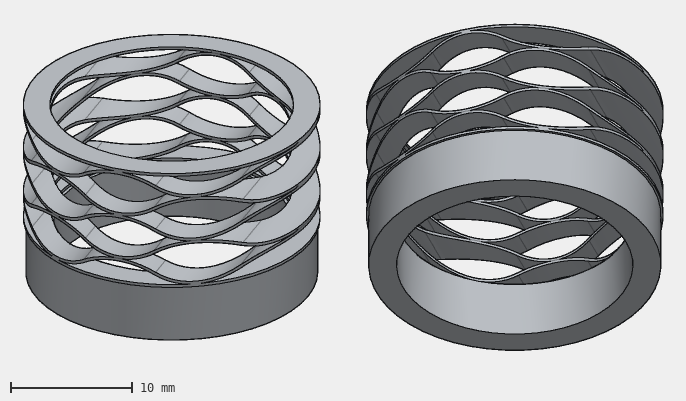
import cadquery as cq
import math

total_height = 15.59
spring_outer_diameter = 24.38
spring_inner_diameter = 20.0

sleeve_outer_diameter = 24.0
sleeve_inner_diameter = 19.4
sleeve_height = 5.0

strip_thickness = 0.26
wave_layers = 5
half_wave_length = 6.17
contact_overlap = 0.03

spring_bottom = sleeve_height
waves_bottom = spring_bottom + strip_thickness
waves_top = total_height - strip_thickness
layer_pitch = (waves_top - waves_bottom) / wave_layers

wave_rise = layer_pitch + contact_overlap - strip_thickness
quarter_run = half_wave_length / 2
quarter_rise = wave_rise / 2
bend_radius = (quarter_run**2 + quarter_rise**2) / (2 * quarter_rise)
bend_angle = math.asin(quarter_run / bend_radius)
half_waves_per_side = 2


def ring(outer_diameter, inner_diameter, bottom, height):
    """A flat-ended tube about the Z axis."""
    return (
        cq.Workplane("XY", origin=(0, 0, bottom))
        .circle(outer_diameter / 2)
        .circle(inner_diameter / 2)
        .extrude(height)
    )


def bend(index, mid_height, crest_at_axis):
    """One arched piece of strip: a crest or a trough, centred `index` half waves from the axis."""
    is_crest = (index % 2 == 0) == crest_at_axis
    side = 1 if is_crest else -1
    center_x = index * half_wave_length
    center_z = mid_height + side * (quarter_rise - bend_radius)

    def point(radius, angle):
        return (center_x + radius * math.sin(angle), center_z + side * radius * math.cos(angle))

    outer = bend_radius + strip_thickness / 2
    inner = bend_radius - strip_thickness / 2
    return (
        cq.Workplane("XZ")
        .moveTo(*point(outer, -bend_angle))
        .threePointArc(point(outer, 0), point(outer, bend_angle))
        .lineTo(*point(inner, bend_angle))
        .threePointArc(point(inner, 0), point(inner, -bend_angle))
        .close()
        .extrude(spring_outer_diameter / 2, both=True)
    )


def wave_layer(layer):
    """One wavy ring; successive layers are mirrored so that their crests and troughs meet."""
    mid_height = waves_bottom + (layer + 0.5) * layer_pitch
    crest_at_axis = layer % 2 == 0
    strip = bend(-half_waves_per_side, mid_height, crest_at_axis)
    for index in range(1 - half_waves_per_side, half_waves_per_side + 1):
        strip = strip.union(bend(index, mid_height, crest_at_axis))
    envelope_height = total_height - spring_bottom
    envelope = ring(spring_outer_diameter, spring_inner_diameter, spring_bottom, envelope_height)
    return strip.intersect(envelope)


def make_spring():
    spring = ring(spring_outer_diameter, spring_inner_diameter, spring_bottom, strip_thickness)
    for layer in range(wave_layers):
        spring = spring.union(wave_layer(layer))
    return spring.union(ring(spring_outer_diameter, spring_inner_diameter, waves_top, strip_thickness))


def make_sleeve():
    return ring(sleeve_outer_diameter, sleeve_inner_diameter, 0, sleeve_height)


sleeve = make_sleeve()
spring = make_spring()

result = cq.Compound.makeCompound([sleeve.val(), *spring.vals()])